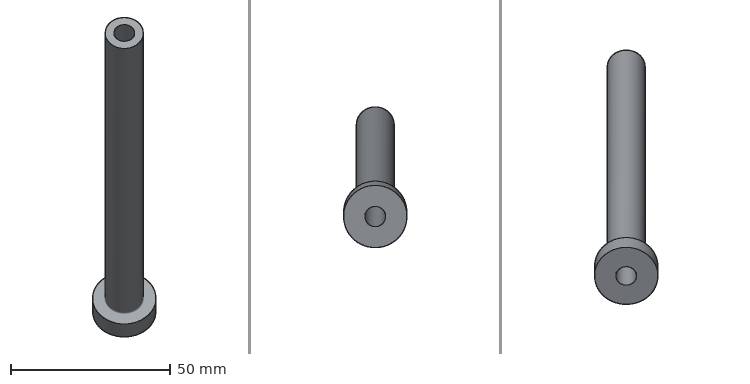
import cadquery as cq

total_length = 150.0
head_diameter = 20.0
head_height = 7.0
shaft_diameter = 12.0
bore_diameter = 6.5
root_fillet = 0.5

head_radius = head_diameter / 2
shaft_radius = shaft_diameter / 2
bore_radius = bore_diameter / 2


def sleeve_profile():
    """Half section in the XZ plane, from the bore wall outwards."""
    return (
        cq.Workplane("XZ")
        .moveTo(bore_radius, 0)
        .lineTo(head_radius, 0)
        .lineTo(head_radius, head_height)
        .lineTo(shaft_radius + root_fillet, head_height)
        .radiusArc((shaft_radius, head_height + root_fillet), root_fillet)
        .lineTo(shaft_radius, total_length)
        .lineTo(bore_radius, total_length)
        .close()
    )


result = sleeve_profile().revolve(360, (0, 0, 0), (0, 1, 0))